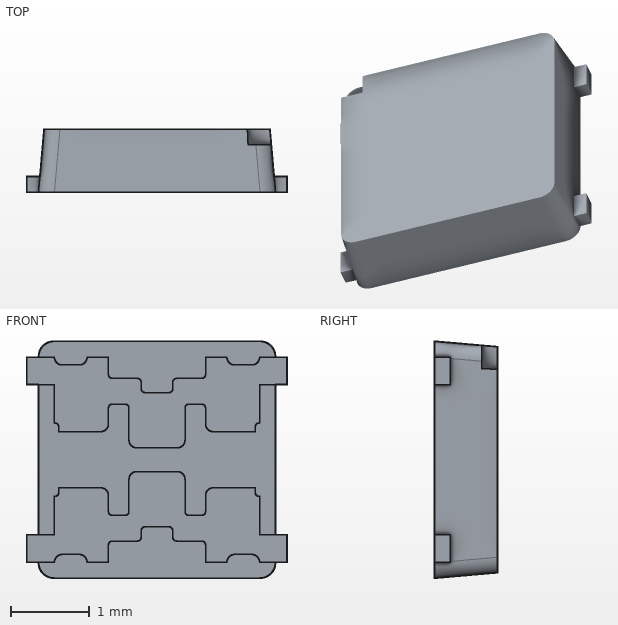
import cadquery as cq
import math

HOUSING_SIDE = 3.004
HOUSING_DEPTH = 0.8
DRAFT_ANGLE = 5.0
CORNER_RADIUS = 0.2

NOTCH_DEPTH = 0.2
NOTCH_DRAFT_ANGLE = 2.5
NOTCH_INNER_EDGE = 1.145
NOTCH_CUTTER_SIDE = 0.6

LEAD_THICKNESS = 0.2
LEAD_SPAN = 3.3
LEAD_TOP = 1.3

TAB_TIP = LEAD_SPAN / 2
PAD_OUTER = 1.3
PAD_FOOT_OUTER = 1.245
RECESS_OUTER = PAD_OUTER
RECESS_INNER = 0.885
PAD_INNER = 0.615
TONGUE_HALF = 0.355
SADDLE_HALF = 0.2

RECESS_FLOOR = 1.2
SHOULDER = 1.03
TAB_BOTTOM = 0.95
SADDLE_FLOOR = 0.85
SLOT_TOP = 0.705
PAD_STEP = 0.465
PAD_BOTTOM = 0.355
TONGUE_BOTTOM = 0.15

SMALL_RADIUS = 0.05
LARGE_RADIUS = 0.1
SHORTEST_LINE = 1e-6


def rounded_outline(corners):
    """Closed XZ outline along square corners given as (x, z, radius)."""
    outline = cq.Workplane("XZ")
    pen = None
    for index, (x, z, radius) in enumerate(corners):
        corner = cq.Vector(x, z)
        previous_corner = cq.Vector(*corners[index - 1][:2])
        next_corner = cq.Vector(*corners[(index + 1) % len(corners)][:2])
        backward = (previous_corner - corner).normalized()
        forward = (next_corner - corner).normalized()

        arc_start = corner + backward * radius
        arc_middle = corner + (backward + forward) * (radius * (1 - math.sqrt(0.5)))
        arc_end = corner + forward * radius

        if pen is None:
            outline = outline.moveTo(*arc_start.toTuple()[:2])
        elif (arc_start - pen).Length > SHORTEST_LINE:
            outline = outline.lineTo(*arc_start.toTuple()[:2])
        if radius > 0:
            outline = outline.threePointArc(arc_middle.toTuple()[:2], arc_end.toTuple()[:2])
        pen = arc_end
    return outline.close()


def make_lead_frame(side):
    """Lead frame above (side = 1) or below (side = -1) the housing centre."""
    right_half = [
        (SADDLE_HALF, SADDLE_FLOOR, SMALL_RADIUS),
        (SADDLE_HALF, SHOULDER, SMALL_RADIUS),
        (PAD_INNER, SHOULDER, SMALL_RADIUS),
        (PAD_INNER, LEAD_TOP, 0),
        (RECESS_INNER, LEAD_TOP, 0),
        (RECESS_INNER, RECESS_FLOOR, LARGE_RADIUS),
        (RECESS_OUTER, RECESS_FLOOR, LARGE_RADIUS),
        (RECESS_OUTER, LEAD_TOP, 0),
        (TAB_TIP, LEAD_TOP, 0),
        (TAB_TIP, TAB_BOTTOM, 0),
        (PAD_OUTER, TAB_BOTTOM, 0),
        (PAD_OUTER, PAD_STEP, 0),
        (PAD_FOOT_OUTER, PAD_STEP, SMALL_RADIUS),
        (PAD_FOOT_OUTER, PAD_BOTTOM, 0),
        (PAD_INNER, PAD_BOTTOM, LARGE_RADIUS),
        (PAD_INNER, SLOT_TOP, SMALL_RADIUS),
        (TONGUE_HALF, SLOT_TOP, SMALL_RADIUS),
        (TONGUE_HALF, TONGUE_BOTTOM, LARGE_RADIUS),
    ]
    left_half = [(-x, z, radius) for x, z, radius in reversed(right_half)]
    corners = [(x, side * z, radius) for x, z, radius in right_half + left_half]
    return rounded_outline(corners).extrude(-LEAD_THICKNESS)


def make_notch():
    """Cutter for the corner notch, narrowing from the rear face towards the notch floor."""
    centre = NOTCH_INNER_EDGE + NOTCH_CUTTER_SIDE / 2
    return (
        cq.Workplane("XZ", origin=(centre, HOUSING_DEPTH, centre))
        .rect(NOTCH_CUTTER_SIDE, NOTCH_CUTTER_SIDE)
        .extrude(NOTCH_DEPTH, taper=NOTCH_DRAFT_ANGLE)
    )


def make_housing():
    block = (
        cq.Workplane("XZ")
        .rect(HOUSING_SIDE, HOUSING_SIDE)
        .extrude(-HOUSING_DEPTH, taper=DRAFT_ANGLE)
    )
    block = block.edges("not(|X or |Z)").fillet(CORNER_RADIUS)
    return block.cut(make_notch())


lead_frames = [make_lead_frame(side) for side in (1, -1)]
housing = make_housing()
for lead_frame in lead_frames:
    housing = housing.cut(lead_frame)

result = cq.Compound.makeCompound([housing.val(), *[lead_frame.val() for lead_frame in lead_frames]])